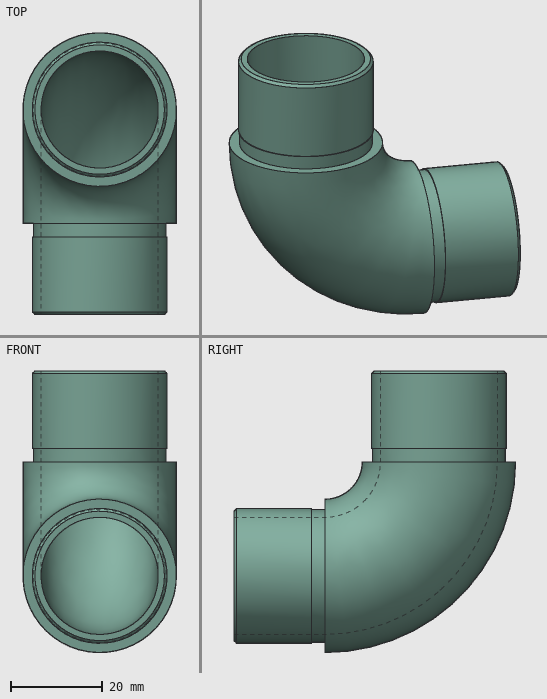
import cadquery as cq

body_diameter = 33.7
bore_diameter = 25.7
bend_radius = 25.0
bend_angle = 90.0

spigot_length = 20.0
spigot_diameter = 29.6
relief_diameter = 29.2
relief_length = 3.0
end_chamfer = 0.6

upper_face = cq.Plane(origin=(0, 0, bend_radius), xDir=(1, 0, 0), normal=(0, 0, 1))
front_face = cq.Plane(origin=(0, -bend_radius, 0), xDir=(1, 0, 0), normal=(0, -1, 0))
end_faces = (upper_face, front_face)


def make_bend(diameter):
    """Round bar bent from the upper end face down to the front end face."""
    axis_start = (1, -bend_radius)
    axis_end = (0, -bend_radius)
    return cq.Workplane(upper_face).circle(diameter / 2).revolve(bend_angle, axis_start, axis_end)


def make_spigot(face):
    """Solid spigot: a narrow relief next to the bend, then a chamfered sleeve."""
    relief = cq.Workplane(face).circle(relief_diameter / 2).extrude(relief_length)
    sleeve = (
        cq.Workplane(face)
        .workplane(offset=relief_length)
        .circle(spigot_diameter / 2)
        .extrude(spigot_length - relief_length)
    )
    outward = cq.selectors.DirectionMinMaxSelector(face.zDir, True)
    sleeve = sleeve.faces(outward).edges().chamfer(end_chamfer)
    return relief.union(sleeve)


def make_spigot_bore(face):
    """Straight bore along the full length of a spigot."""
    return cq.Workplane(face).circle(bore_diameter / 2).extrude(spigot_length)


outside = make_bend(body_diameter)
bore = make_bend(bore_diameter)
for end_face in end_faces:
    outside = outside.union(make_spigot(end_face))
    bore = bore.union(make_spigot_bore(end_face))

result = outside.cut(bore)